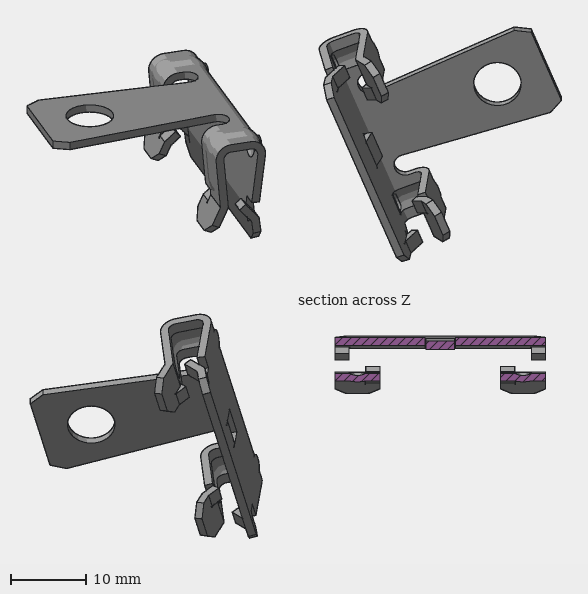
import cadquery as cq
import math


sheet = 1.1
bend_inside = 1.0
bend_outside = bend_inside + sheet
flat_depth = 2.75
half_flat = flat_depth / 2
clip_width = 28.0
half_width = clip_width / 2

front_leg_width = 6.0
slot_width = 3.0
slot_radius = slot_width / 2
slot_center_y = -0.66
leg_inner_x = half_width - front_leg_width
tongue_root_x = leg_inner_x - slot_width
tongue_tip_x = 6.5
tongue_end_y = -23.45
tongue_corner_x = 1.1
tongue_corner_y = 2.0
hole_diameter = 6.3
hole_to_end = 7.0

front_lean = 5.0
front_flare = -25.0
front_upper_length = 6.9
front_flare_length = 4.22
rear_lean = -7.0
rear_flare = 7.0
rear_upper_length = 8.39
rear_flare_length = 4.735
foot_chamfer = 1.5

barb_gap = 0.1
side_barb_width = 2.0
half_center_window = 2.0
front_barb_lean = -50.0
front_barb_length = 2.0
rear_barb_lean = 40.0
rear_barb_length = 2.65
center_barb_lean = 20.0
center_barb_length = 2.45
cut_margin = 0.3

bead_width = 2.8
bead_height = 0.2
groove_width = 3.0
groove_depth = 0.5
bead_front_length = 4.35
bead_x = half_width - front_leg_width / 2
bead_overlap = 0.4


def down(lean):
    """Unit (y, z) direction running down a leg."""
    angle = math.radians(lean)
    return math.sin(angle), -math.cos(angle)


def across(lean):
    """Unit (y, z) direction through the sheet of a leg, towards +Y."""
    angle = math.radians(lean)
    return math.cos(angle), math.sin(angle)


def shifted(point, direction, distance):
    return point[0] + direction[0] * distance, point[1] + direction[1] * distance


def extrude_x(outline, x_start, x_end):
    """Extrude a closed YZ outline between two X positions."""
    return outline.extrude(x_end - x_start).translate((x_start, 0, 0))


def strip(start, segments, x_start, x_end, margin=0.0):
    """Folded strip of sheet that runs down from a point on its -Y face.

    Each segment is a (length, lean) pair, and the folds are mitred.
    """
    leans = [lean for _, lean in segments]
    path = [start]
    for length, lean in segments:
        path.append(shifted(path[-1], down(lean), length))
    near_side = []
    far_side = []
    for point, above, below in zip(path, leans[:1] + leans, leans + leans[-1:]):
        direction = across((above + below) / 2)
        stretch = 1 / math.cos(math.radians((below - above) / 2))
        near_side.append(shifted(point, direction, -margin * stretch))
        far_side.append(shifted(point, direction, (sheet + margin) * stretch))
    outline = cq.Workplane("YZ").polyline(near_side + far_side[::-1]).close()
    return extrude_x(outline, x_start, x_end)


def top_plate():
    corner_y = tongue_end_y + tongue_corner_y
    tip_x = tongue_tip_x - tongue_corner_x
    slot_middle_x = tongue_root_x + slot_radius
    slot_top_y = slot_center_y + slot_radius
    plate = (
        cq.Workplane("XY")
        .moveTo(-half_width, half_flat)
        .lineTo(half_width, half_flat)
        .lineTo(half_width, -half_flat)
        .lineTo(leg_inner_x, -half_flat)
        .lineTo(leg_inner_x, slot_center_y)
        .threePointArc((slot_middle_x, slot_top_y), (tongue_root_x, slot_center_y))
        .lineTo(tongue_tip_x, corner_y)
        .lineTo(tip_x, tongue_end_y)
        .lineTo(-tip_x, tongue_end_y)
        .lineTo(-tongue_tip_x, corner_y)
        .lineTo(-tongue_root_x, slot_center_y)
        .threePointArc((-slot_middle_x, slot_top_y), (-leg_inner_x, slot_center_y))
        .lineTo(-leg_inner_x, -half_flat)
        .lineTo(-half_width, -half_flat)
        .close()
        .extrude(-sheet)
    )
    hole = (
        cq.Workplane("XY")
        .center(0, tongue_end_y + hole_to_end)
        .circle(hole_diameter / 2)
        .extrude(-sheet)
    )
    return plate.cut(hole)


def bend_point(side, radius, turned):
    """Point on a top bend, turned from straight up; side is +1 behind and -1 in front."""
    angle = math.radians(turned)
    y = side * (half_flat + radius * math.sin(angle))
    z = -bend_outside + radius * math.cos(angle)
    return y, z


def top_bend(side, lean, x_start, x_end):
    turn = 90 + abs(lean)
    outline = (
        cq.Workplane("YZ")
        .moveTo(*bend_point(side, bend_outside, 0))
        .threePointArc(
            bend_point(side, bend_outside, turn / 2),
            bend_point(side, bend_outside, turn),
        )
        .lineTo(*bend_point(side, bend_inside, turn))
        .threePointArc(
            bend_point(side, bend_inside, turn / 2),
            bend_point(side, bend_inside, 0),
        )
        .close()
    )
    return extrude_x(outline, x_start, x_end)


front_start = bend_point(-1, bend_outside, 90 + abs(front_lean))
front_crease = shifted(front_start, down(front_lean), front_upper_length)
rear_start = bend_point(1, bend_inside, 90 + abs(rear_lean))
rear_crease = shifted(rear_start, down(rear_lean), rear_upper_length)


def leg(start, segments, x_start, x_end):
    """Leg whose two lower corners are cut off."""
    flare = segments[-1][1]
    thickness_direction = cq.Vector(0, *across(flare))
    corners = cq.selectors.ParallelDirSelector(thickness_direction)
    return strip(start, segments, x_start, x_end).edges(corners).chamfer(foot_chamfer)


def front_leg():
    segments = [(front_upper_length, front_lean), (front_flare_length, front_flare)]
    body = leg(front_start, segments, leg_inner_x, half_width)
    body = body.union(top_bend(-1, front_lean, leg_inner_x, half_width))
    window_above = 0.76
    root_below = 0.92
    slit_below = 1.28
    window_x = leg_inner_x + side_barb_width
    window_top = shifted(front_crease, down(front_lean), -window_above)
    window = strip(
        window_top,
        [(window_above, front_lean), (slit_below, front_flare)],
        leg_inner_x,
        window_x,
        cut_margin,
    )
    root = shifted(front_crease, down(front_flare), root_below)
    barb = strip(
        shifted(root, down(front_barb_lean), -front_barb_length),
        [(front_barb_length, front_barb_lean), (slit_below - root_below, front_flare)],
        leg_inner_x,
        window_x - barb_gap,
    )
    return body.cut(window).union(barb)


def rear_side_window():
    """Window cutter and barb at the +X end of the rear leg, across the crease."""
    window_above = 1.46
    root_below = 1.46
    slit_below = 2.27
    window_x = half_width - side_barb_width
    window = strip(
        shifted(rear_crease, down(rear_lean), -window_above),
        [(window_above, rear_lean), (slit_below, rear_flare)],
        window_x,
        half_width,
        cut_margin,
    )
    root = shifted(rear_crease, down(rear_flare), root_below)
    barb = strip(
        shifted(root, down(rear_barb_lean), -rear_barb_length),
        [(rear_barb_length, rear_barb_lean), (slit_below - root_below, rear_flare)],
        window_x + barb_gap,
        half_width,
    )
    return window, barb


def rear_center_window():
    """Window cutter and barb in the middle of the rear leg, above the crease."""
    window_above = 4.65
    root_above = 1.98
    slit_above = 1.42
    window = strip(
        shifted(rear_crease, down(rear_lean), -window_above),
        [(window_above - slit_above, rear_lean)],
        -half_center_window,
        half_center_window,
        cut_margin,
    )
    root = shifted(rear_crease, down(rear_lean), -root_above)
    barb = strip(
        shifted(root, down(center_barb_lean), -center_barb_length),
        [(center_barb_length, center_barb_lean), (root_above - slit_above, rear_lean)],
        barb_gap - half_center_window,
        half_center_window - barb_gap,
    )
    return window, barb


def rear_leg():
    segments = [(rear_upper_length, rear_lean), (rear_flare_length, rear_flare)]
    body = leg(rear_start, segments, -half_width, half_width)
    body = body.union(top_bend(1, rear_lean, -half_width, half_width))
    side_window, side_barb = rear_side_window()
    center_window, center_barb = rear_center_window()
    body = body.cut(center_window).union(center_barb)
    for window, barb in (
        (side_window, side_barb),
        (side_window.mirror("YZ"), side_barb.mirror("YZ")),
    ):
        body = body.cut(window).union(barb)
    return body


def bead(surface_radius, width, height):
    """Solid along the bead path of the +X front leg, rising from one sheet surface.

    surface_radius is the top bend radius of that surface. The section is an arc of the given
    width and height over a straight-sided body that reaches bead_overlap below the surface.
    """
    half_chord = width / 2
    arc_radius = (half_chord ** 2 + height ** 2) / (2 * height)
    quarter_x = half_chord / 2
    quarter_height = math.sqrt(arc_radius ** 2 - quarter_x ** 2) - arc_radius + height
    surface_z = surface_radius - bend_outside

    def section(plane):
        return (
            cq.Workplane(plane)
            .moveTo(-half_chord, -bead_overlap)
            .lineTo(-half_chord, 0)
            .threePointArc((0, height), (half_chord, 0))
            .lineTo(half_chord, -bead_overlap)
            .close()
        )

    def round_end(plane):
        half_section = (
            cq.Workplane(plane)
            .moveTo(0, -bead_overlap)
            .lineTo(half_chord, -bead_overlap)
            .lineTo(half_chord, 0)
            .threePointArc((quarter_x, quarter_height), (0, height))
            .close()
        )
        return half_section.revolve(360, (0, 0), (0, 1))

    def plane_at(point, travel):
        return cq.Plane((bead_x, *point), xDir=(1, 0, 0), normal=(0, *travel))

    forward = (-1, 0)
    top_rear = plane_at((half_flat, surface_z), forward)
    top_front = plane_at((-half_flat, surface_z), forward)
    front_turn = 90 + abs(front_lean)
    rear_turn = 90 + abs(rear_lean)
    front_end = bend_point(-1, surface_radius, front_turn)
    front_plane = plane_at(front_end, down(front_lean))
    low_end = shifted(front_end, down(front_lean), bead_front_length)
    low_plane = plane_at(low_end, down(front_lean))
    rear_end = bend_point(1, surface_radius, rear_turn)
    rear_up = shifted((0, 0), down(rear_lean), -1)
    rear_plane = plane_at(rear_end, rear_up)
    bend_axis = ((-1, -surface_radius), (1, -surface_radius))

    return (
        section(top_rear)
        .extrude(flat_depth)
        .union(section(top_front).revolve(front_turn, *bend_axis))
        .union(section(front_plane).extrude(bead_front_length))
        .union(round_end(low_plane))
        .union(section(top_rear).revolve(rear_turn, *reversed(bend_axis)))
        .union(round_end(rear_plane))
    )


def with_bead(body, raised, groove):
    return body.union(raised).cut(groove)


right_leg = front_leg()
raised_bead = bead(bend_outside, bead_width, bead_height)
bead_groove = bead(bend_inside, groove_width, groove_depth)

result = top_plate().union(rear_leg()).union(right_leg).union(right_leg.mirror("YZ"))
result = with_bead(result, raised_bead, bead_groove)
result = with_bead(result, raised_bead.mirror("YZ"), bead_groove.mirror("YZ"))